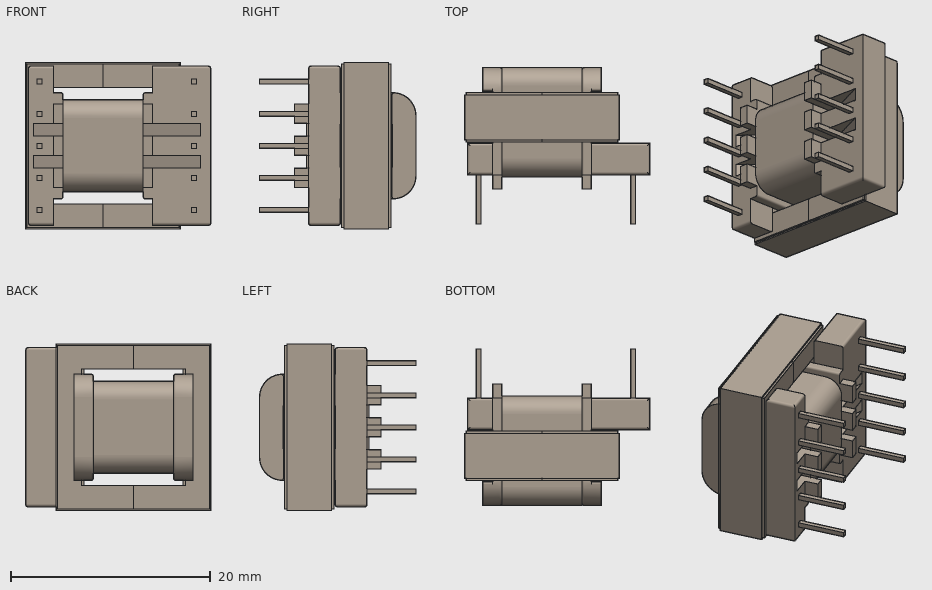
import cadquery as cq


core_length = 15.21
core_width = 16.42
core_depth = 4.97
window_width = 11.63
leg_thickness = (core_width - window_width) / 2
yoke_thickness = leg_thickness
fit_clearance = 0.11

tape_thickness = 0.15
tape_depth = 4.5

bore_width = 4.3
bore_depth = core_depth + 2 * fit_clearance
tube_wall = 0.55
tube_width = bore_width + 2 * tube_wall
tube_depth = bore_depth + 2 * tube_wall
centre_leg_width = bore_width - 2 * fit_clearance

winding_length = 8.03
flange_thickness = 0.93
flange_inner_x = winding_length / 2
flange_outer_x = flange_inner_x + flange_thickness
flange_width = 10.65
flange_back_y = 4.99
flange_corner_radius = 2.32
flange_edge_radius = 0.22

lip_outer_x = 5.95
lip_edge_radius = 0.22

rail_width = 15.99
rail_back_y = -bore_depth / 2
rail_thickness = 3.19
rail_front_y = rail_back_y - rail_thickness
left_rail_outer_x = 7.48
right_rail_outer_x = 10.8
rail_edge_radius = 0.28

pin_side = 0.5
pin_length = 4.92
pin_pitch = 3.2
pins_per_rail = 5
left_pin_x = 6.36
right_pin_x = 9.13

post_span = 8.38
post_height = 1.41
slot_width = 1.26
slot_offset = pin_pitch / 2
slot_inner_y = -tube_depth / 2
left_slot_end_x = 6.97
right_slot_end_x = 9.74

winding_width = 9.24
winding_front_y = -6.01
winding_corner_radius = 1.84


def box(x_start, x_end, y_start, y_end, width):
    """Box between two X and two Y positions, centred on Z = 0."""
    plan = cq.Workplane("XY", origin=(0, 0, -width / 2))
    plan = plan.moveTo(x_start, y_start).lineTo(x_end, y_start).lineTo(x_end, y_end).lineTo(x_start, y_end)
    return plan.close().extrude(width)


def centred_box(length, depth, width):
    return cq.Workplane("XY").box(length, depth, width)


def mirrored_in_x(body):
    return body.mirror("YZ")



def make_core_half():
    """E half on the +X side: a yoke, two outer legs and a centre leg."""
    half_length = core_length / 2
    half_core = box(0, half_length, -core_depth / 2, core_depth / 2, core_width)
    window_depth = half_length - yoke_thickness
    window = box(0, window_depth, -core_depth / 2, core_depth / 2, window_width)
    centre_leg = box(0, window_depth, -core_depth / 2, core_depth / 2, centre_leg_width)
    return half_core.cut(window).union(centre_leg)


def make_tape():
    outer = centred_box(core_length + 2 * tape_thickness, tape_depth, core_width + 2 * tape_thickness)
    return outer.cut(centred_box(core_length, tape_depth, core_width))



def rounded_back_plate(x_start, x_end, front_y):
    """Plate across X whose two back corners are rounded."""
    plate = box(x_start, x_end, front_y, flange_back_y, flange_width)
    return plate.edges("|X and >Y").fillet(flange_corner_radius)


def make_flange():
    """Flange with a rounded inner rim, and the lip behind it."""
    flange = rounded_back_plate(flange_inner_x, flange_outer_x, rail_front_y)
    flange = flange.faces("<X").edges("not(<Y)").fillet(flange_edge_radius)
    lip = rounded_back_plate(flange_outer_x, lip_outer_x, bore_depth / 2)
    lip = lip.edges("|X and <Y").fillet(lip_edge_radius)
    return flange.union(lip)


def make_rail(outer_x):
    """Rail with rounded end edges, except along its inner side."""
    rail = box(flange_outer_x, outer_x, rail_front_y, rail_back_y, rail_width)
    return rail.faces("<Z or >Z").edges("not(<X)").fillet(rail_edge_radius)


def make_posts():
    return box(flange_inner_x, flange_outer_x, rail_front_y - post_height, rail_front_y, post_span)


def make_wire_slot(end_x, centre_z):
    """Slot whose floor slopes from the tube surface out to the rail front."""
    post_front_y = rail_front_y - post_height
    return (
        cq.Workplane("XY", origin=(0, 0, centre_z - slot_width / 2))
        .moveTo(flange_inner_x, slot_inner_y)
        .lineTo(end_x, rail_front_y)
        .lineTo(end_x, post_front_y)
        .lineTo(flange_inner_x, post_front_y)
        .close()
        .extrude(slot_width)
    )


def make_pin(pin_x, pin_z):
    pin = box(pin_x - pin_side / 2, pin_x + pin_side / 2, rail_front_y - pin_length, rail_front_y, pin_side)
    return pin.translate((0, 0, pin_z))


def make_bobbin_end(rail_outer_x, slot_end_x, pin_x):
    """One end of the bobbin, built on the +X side."""
    end = make_flange().union(make_rail(rail_outer_x)).union(make_posts())
    for slot_z in (-slot_offset, slot_offset):
        end = end.cut(make_wire_slot(slot_end_x, slot_z))
    for index in range(pins_per_rail):
        pin_z = (index - (pins_per_rail - 1) / 2) * pin_pitch
        end = end.union(make_pin(pin_x, pin_z))
    return end


def make_bobbin():
    tube = centred_box(winding_length, tube_depth, tube_width)
    left_end = mirrored_in_x(make_bobbin_end(left_rail_outer_x, left_slot_end_x, left_pin_x))
    right_end = make_bobbin_end(right_rail_outer_x, right_slot_end_x, right_pin_x)
    bore = centred_box(2 * flange_outer_x, bore_depth, bore_width)
    return tube.union(left_end).union(right_end).cut(bore)



def make_winding():
    coil = box(-winding_length / 2, winding_length / 2, winding_front_y, flange_back_y, winding_width)
    coil = coil.edges("|X").fillet(winding_corner_radius)
    return coil.cut(centred_box(winding_length, tube_depth, tube_width))


right_core_half = make_core_half()
left_core_half = mirrored_in_x(right_core_half)
tape = make_tape()
bobbin = make_bobbin()
winding = make_winding()

bodies = [left_core_half, right_core_half, tape, bobbin, winding]
result = cq.Compound.makeCompound([body.solids().val() for body in bodies])